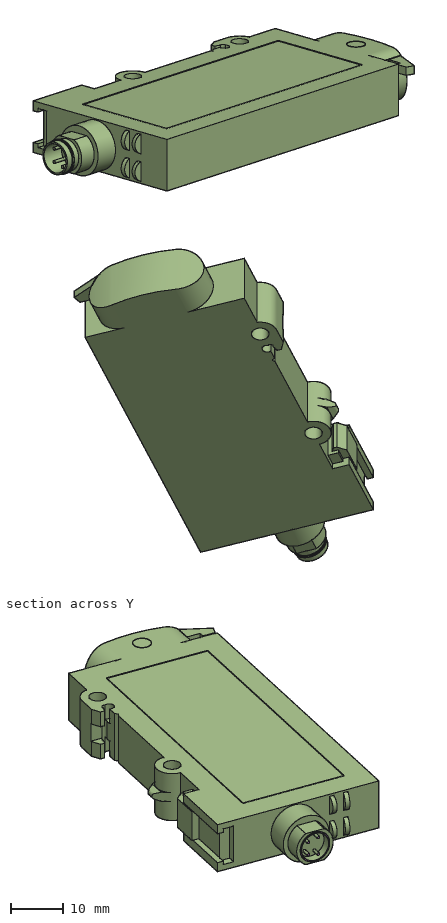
import cadquery as cq
import math

THICKNESS = 10.4
HALF_THICKNESS = THICKNESS / 2
OVERSHOOT = 0.8

BODY_LENGTH = 64.9
BODY_RIGHT = 18.6
FOOT_LEFT = -16.7
FOOT_TOP = 13.6
RAIL_WALL_X = -13.4
HEAD_LEFT = -13.95

EAR_X = RAIL_WALL_X
HEAD_EAR_Y = 54.3
LOWER_EAR_Y = 24.4
EAR_RADIUS = 3.4
EAR_HOLE_DIAMETER = 3.4

HOOK_END_Y = 48.85
HOOK_CHAMFER_Y = 50.6
HOOK_TIP_LEFT = -15.7
HOOK_TIP_RIGHT = -14.8
SLOT_LEFT = -14.5
SLOT_RIGHT = -13.6
SLOT_SPRING_Y = 50.1
SLOT_TOP_Y = 50.9
SLOT_WALL_END_Y = 47.1
GROOVE_X = -13.0
GROOVE_Y = 46.5
GROOVE_END_Y = 46.0
HOOK_GAP_HALF_HEIGHT = 1.9
HOOK_GAP_TOP_Y = 50.8
RELIEF_X = -13.2
RELIEF_Y = 49.9
RELIEF_DIAMETER = 1.9

NOSE_TIP_X = -18.25
NOSE_TIP_HALF_WIDTH = 0.75
NOSE_HALF_HEIGHT = 1.0
NOSE_TAPER_END_X = -17.9
NOSE_TAPER_END_HALF_HEIGHT = 0.6

LABEL_LEFT, LABEL_RIGHT = -8.4, 13.7
LABEL_BOTTOM, LABEL_TOP = 5.05, 59.85
LABEL_DEPTH = 0.2

CAP_PEAK_X = 4.0
CAP_PEAK_Y = 72.5
CAP_ARC_RADIUS = 31.95
CAP_LEFT_CENTER = -2.4
CAP_RIGHT_CENTER = 10.6
CAP_MARK_Y = 68.4
CAP_MARK_DIAMETER = 3.6
CAP_MARK_DEPTH = 0.1
LEVER_BOTTOM_Z, LEVER_TOP_Z = 2.6, 4.3
LEVER_ROOT_X = 13.4
LEVER_TIP_X, LEVER_TIP_Y = 19.6, 68.3
LEVER_LIP_LEFT, LEVER_LIP_RIGHT = 16.3, 19.0
LEVER_LIP_Y = 66.6
LEVER_NOTCH_Y = 67.7
LEVER_NOTCH_BOTTOM = 65.5

CHANNEL_RIGHT = -13.2
STEM_HALF_HEIGHT = 3.2
FLANGE_HALF_HEIGHT = 3.95
FLANGE_LEFT = -15.5
LATCH_LEFT = -17.0
LATCH_END_Y = 1.6
LATCH_STEP_Y = 9.8
LATCH_CHAMFER_Y = 15.6
LATCH_TOP = 17.1
LATCH_TIP_RIGHT = -14.8
LATCH_SHOULDER_X, LATCH_SHOULDER_Y = -14.2, 16.2

COLLAR_DIAMETER, COLLAR_END = 10.0, -4.9
GRIP_DIAMETER, GRIP_END = 8.0, -8.4
GRIP_FLATS = 6.9
NECK_DIAMETER = 6.5
CONNECTOR_END = CAP_PEAK_Y - 84.1
RING_DIAMETER = 6.9
RING_START, RING_END = -9.8, -10.25
BORE_DIAMETER = 5.8
BORE_FLOOR = -6.7
PIN_DIAMETER = 0.6
PIN_END = -10.3
PIN_PLACES = [(-1.4, 1.35), (0.75, 1.85)]

FIN_HEIGHT = 3.95
FIN_MID_Z = 2.8
FIN_DEPTH = 1.35
FIN_THICKNESS = 0.9
FINS = [(8.2, 0), (11.3, 11)]


def box(x_range, y_range, z_range):
    """Axis-aligned box between two limits on each axis."""
    (x0, x1), (y0, y1), (z0, z1) = x_range, y_range, z_range
    return cq.Workplane("XY").box(x1 - x0, y1 - y0, z1 - z0, centered=False).translate((x0, y0, z0))


def slab(outline, z0, z1):
    """Extrude a closed XY outline from z0 to z1."""
    return outline.extrude(z1 - z0).translate((0, 0, z0))


def rod(diameter, y0, y1, x=0, z=0):
    """Cylinder along Y from y0 to y1."""
    start = cq.Workplane("XZ", origin=(x, y0, z))
    return start.circle(diameter / 2).extrude(y0 - y1)


def vertical_rod(x, y, diameter, z0, z1):
    """Cylinder along Z from z0 to z1."""
    return slab(cq.Workplane("XY").center(x, y).circle(diameter / 2), z0, z1)


def cap_arc_y(x):
    """Y place of the cap's crown arc at x."""
    return CAP_PEAK_Y - CAP_ARC_RADIUS + math.sqrt(CAP_ARC_RADIUS**2 - (x - CAP_PEAK_X) ** 2)


def make_housing():
    ear_left = EAR_X - EAR_RADIUS
    arc_start_y = HEAD_EAR_Y + math.sqrt(EAR_RADIUS**2 - (HEAD_LEFT - EAR_X) ** 2)
    arc_mid = (EAR_X - EAR_RADIUS * math.sqrt(0.5), HEAD_EAR_Y + EAR_RADIUS * math.sqrt(0.5))
    outline = (
        cq.Workplane("XY")
        .moveTo(FOOT_LEFT, 0)
        .lineTo(BODY_RIGHT, 0)
        .lineTo(BODY_RIGHT, BODY_LENGTH)
        .lineTo(HEAD_LEFT, BODY_LENGTH)
        .lineTo(HEAD_LEFT, arc_start_y)
        .threePointArc(arc_mid, (ear_left, HEAD_EAR_Y))
        .lineTo(ear_left, HOOK_CHAMFER_Y)
        .lineTo(HOOK_TIP_LEFT, HOOK_END_Y)
        .lineTo(HOOK_TIP_RIGHT, HOOK_END_Y)
        .lineTo(SLOT_LEFT, SLOT_SPRING_Y)
        .threePointArc(((SLOT_LEFT + SLOT_RIGHT) / 2, SLOT_TOP_Y), (SLOT_RIGHT, SLOT_SPRING_Y))
        .lineTo(SLOT_RIGHT, SLOT_WALL_END_Y)
        .lineTo(GROOVE_X, GROOVE_Y)
        .lineTo(RAIL_WALL_X, GROOVE_END_Y)
        .lineTo(RAIL_WALL_X, FOOT_TOP)
        .lineTo(FOOT_LEFT, FOOT_TOP)
        .close()
    )
    return slab(outline, -HALF_THICKNESS, HALF_THICKNESS)


def make_lower_ear():
    ear = vertical_rod(EAR_X, LOWER_EAR_Y, 2 * EAR_RADIUS, -HALF_THICKNESS, HALF_THICKNESS)
    return ear.union(make_nose())


def make_nose():
    """Snap nose whose sides leave the ear as tangents and whose tip is tapered and rounded in XZ."""
    reach = EAR_X - NOSE_TIP_X
    tip_distance = math.hypot(reach, NOSE_TIP_HALF_WIDTH)
    tangent_angle = math.atan2(NOSE_TIP_HALF_WIDTH, reach) + math.acos(EAR_RADIUS / tip_distance)
    tangent_x = EAR_X - EAR_RADIUS * math.cos(tangent_angle)
    tangent_offset = EAR_RADIUS * math.sin(tangent_angle)
    side_points = [
        (EAR_X, LOWER_EAR_Y + EAR_RADIUS / 2),
        (tangent_x, LOWER_EAR_Y + tangent_offset),
        (NOSE_TIP_X, LOWER_EAR_Y + NOSE_TIP_HALF_WIDTH),
        (NOSE_TIP_X, LOWER_EAR_Y - NOSE_TIP_HALF_WIDTH),
        (tangent_x, LOWER_EAR_Y - tangent_offset),
        (EAR_X, LOWER_EAR_Y - EAR_RADIUS / 2),
    ]
    plan = slab(cq.Workplane("XY").polyline(side_points).close(), -NOSE_HALF_HEIGHT, NOSE_HALF_HEIGHT)
    ear_left = EAR_X - EAR_RADIUS
    profile = (
        cq.Workplane("XZ", origin=(0, LOWER_EAR_Y, 0))
        .moveTo(EAR_X, -NOSE_HALF_HEIGHT)
        .lineTo(ear_left, -NOSE_HALF_HEIGHT)
        .lineTo(NOSE_TAPER_END_X, -NOSE_TAPER_END_HALF_HEIGHT)
        .threePointArc((NOSE_TIP_X, 0), (NOSE_TAPER_END_X, NOSE_TAPER_END_HALF_HEIGHT))
        .lineTo(ear_left, NOSE_HALF_HEIGHT)
        .lineTo(EAR_X, NOSE_HALF_HEIGHT)
        .close()
        .extrude(2 * EAR_RADIUS, both=True)
    )
    return plan.intersect(profile)


def cut_hook_details(body):
    """Open the middle of the hook and sink the two round reliefs beside its slot."""
    gap = box(
        (EAR_X - EAR_RADIUS, (SLOT_LEFT + SLOT_RIGHT) / 2),
        (HOOK_END_Y, HOOK_GAP_TOP_Y),
        (-HOOK_GAP_HALF_HEIGHT, HOOK_GAP_HALF_HEIGHT),
    )
    body = body.cut(gap)
    outside = HALF_THICKNESS + OVERSHOOT
    for z0, z1 in [(HOOK_GAP_HALF_HEIGHT, outside), (-outside, -HOOK_GAP_HALF_HEIGHT)]:
        body = body.cut(vertical_rod(RELIEF_X, RELIEF_Y, RELIEF_DIAMETER, z0, z1))
    return body


def make_cap():
    """Cap with half-round sides, crowned by one large arc, and its lever plate."""
    cap_left = CAP_LEFT_CENTER - HALF_THICKNESS
    cap_right = CAP_RIGHT_CENTER + HALF_THICKNESS
    base_y = BODY_LENGTH - OVERSHOOT
    cap = box((CAP_LEFT_CENTER, CAP_RIGHT_CENTER), (base_y, CAP_PEAK_Y), (-HALF_THICKNESS, HALF_THICKNESS))
    for center_x in (CAP_LEFT_CENTER, CAP_RIGHT_CENTER):
        cap = cap.union(rod(THICKNESS, base_y, CAP_PEAK_Y, x=center_x))
    crown = (
        cq.Workplane("XY")
        .moveTo(cap_left, base_y)
        .lineTo(cap_left, cap_arc_y(cap_left))
        .threePointArc((CAP_PEAK_X, CAP_PEAK_Y), (cap_right, cap_arc_y(cap_right)))
        .lineTo(cap_right, base_y)
        .close()
    )
    cap = cap.intersect(slab(crown, -HALF_THICKNESS, HALF_THICKNESS))
    cap_above_lever = box(
        (LEVER_ROOT_X, cap_right),
        (BODY_LENGTH, CAP_PEAK_Y),
        (LEVER_TOP_Z, HALF_THICKNESS),
    )
    notch = box(
        (LEVER_ROOT_X, LEVER_LIP_LEFT),
        (LEVER_NOTCH_BOTTOM, LEVER_NOTCH_Y),
        (LEVER_BOTTOM_Z, LEVER_TOP_Z),
    )
    return cap.union(make_lever()).cut(cap_above_lever).cut(notch)


def make_lever():
    outline = (
        cq.Workplane("XY")
        .moveTo(CAP_RIGHT_CENTER, LEVER_NOTCH_Y)
        .lineTo(LEVER_LIP_LEFT, LEVER_NOTCH_Y)
        .lineTo(LEVER_LIP_LEFT, LEVER_LIP_Y)
        .lineTo(LEVER_LIP_RIGHT, LEVER_LIP_Y)
        .lineTo(LEVER_TIP_X, LEVER_TIP_Y)
        .lineTo(LEVER_ROOT_X, cap_arc_y(LEVER_ROOT_X))
        .lineTo(CAP_RIGHT_CENTER, cap_arc_y(LEVER_ROOT_X))
        .close()
    )
    return slab(outline, LEVER_BOTTOM_Z, LEVER_TOP_Z)


def cut_latch_channel(body):
    """T-shaped channel: a wide chamber and a narrower mouth through the foot's outer side."""
    along = (-OVERSHOOT, FOOT_TOP + OVERSHOOT)
    chamber = box((FLANGE_LEFT, CHANNEL_RIGHT), along, (-FLANGE_HALF_HEIGHT, FLANGE_HALF_HEIGHT))
    mouth = box((FOOT_LEFT - OVERSHOOT, FLANGE_LEFT), along, (-STEM_HALF_HEIGHT, STEM_HALF_HEIGHT))
    return body.cut(chamber).cut(mouth)


def make_latch():
    """Latch that fills the channel, with a flange inside and a raised pad reaching outside."""
    flange = box(
        (FLANGE_LEFT, CHANNEL_RIGHT),
        (LATCH_END_Y, LATCH_SHOULDER_Y),
        (-FLANGE_HALF_HEIGHT, FLANGE_HALF_HEIGHT),
    )
    pad_points = [
        (LATCH_LEFT, LATCH_STEP_Y),
        (LATCH_LEFT, LATCH_CHAMFER_Y),
        (FLANGE_LEFT, LATCH_TOP),
        (LATCH_TIP_RIGHT, LATCH_TOP),
        (LATCH_SHOULDER_X, LATCH_SHOULDER_Y),
        (CHANNEL_RIGHT, LATCH_SHOULDER_Y),
        (CHANNEL_RIGHT, LATCH_STEP_Y),
    ]
    pad = slab(cq.Workplane("XY").polyline(pad_points).close(), -STEM_HALF_HEIGHT, STEM_HALF_HEIGHT)
    return flange.union(pad)


def make_connector():
    collar = rod(COLLAR_DIAMETER, OVERSHOOT, COLLAR_END)
    grip = rod(GRIP_DIAMETER, COLLAR_END, GRIP_END)
    flats = box(
        (-GRIP_DIAMETER, GRIP_DIAMETER),
        (GRIP_END, COLLAR_END),
        (-GRIP_FLATS / 2, GRIP_FLATS / 2),
    )
    connector = collar.union(grip.intersect(flats))
    connector = connector.union(rod(NECK_DIAMETER, GRIP_END, CONNECTOR_END))
    connector = connector.union(rod(RING_DIAMETER, RING_START, RING_END))
    connector = connector.cut(rod(BORE_DIAMETER, BORE_FLOOR, CONNECTOR_END))
    for x, z in PIN_PLACES:
        for pin_z in (z, -z):
            connector = connector.union(rod(PIN_DIAMETER, BORE_FLOOR + OVERSHOOT, PIN_END, x, pin_z))
    return connector


def make_fin(x, z, tilt):
    """Arched fin standing on the end wall, leaning about its foot by the tilt angle."""
    half = FIN_HEIGHT / 2
    fin = (
        cq.Workplane("YZ")
        .moveTo(OVERSHOOT, -half)
        .lineTo(0, -half)
        .threePointArc((-FIN_DEPTH, 0), (0, half))
        .lineTo(OVERSHOOT, half)
        .close()
        .extrude(FIN_THICKNESS / 2, both=True)
    )
    return fin.rotate((0, 0, 0), (0, 0, 1), -tilt).translate((x, 0, z))


body = make_housing().union(make_lower_ear())
body = cut_hook_details(body)
for ear_y in (HEAD_EAR_Y, LOWER_EAR_Y):
    body = body.cut(vertical_rod(EAR_X, ear_y, EAR_HOLE_DIAMETER, -HALF_THICKNESS, HALF_THICKNESS))
body = cut_latch_channel(body).union(make_latch())

body = body.union(make_cap()).union(make_connector())
for fin_x, fin_tilt in FINS:
    for fin_z in (FIN_MID_Z, -FIN_MID_Z):
        body = body.union(make_fin(fin_x, fin_z, fin_tilt))

label = box(
    (LABEL_LEFT, LABEL_RIGHT),
    (LABEL_BOTTOM, LABEL_TOP),
    (HALF_THICKNESS - LABEL_DEPTH, HALF_THICKNESS),
)
mark = vertical_rod(
    CAP_PEAK_X, CAP_MARK_Y, CAP_MARK_DIAMETER, HALF_THICKNESS - CAP_MARK_DEPTH, HALF_THICKNESS
)
result = body.cut(label).cut(mark)